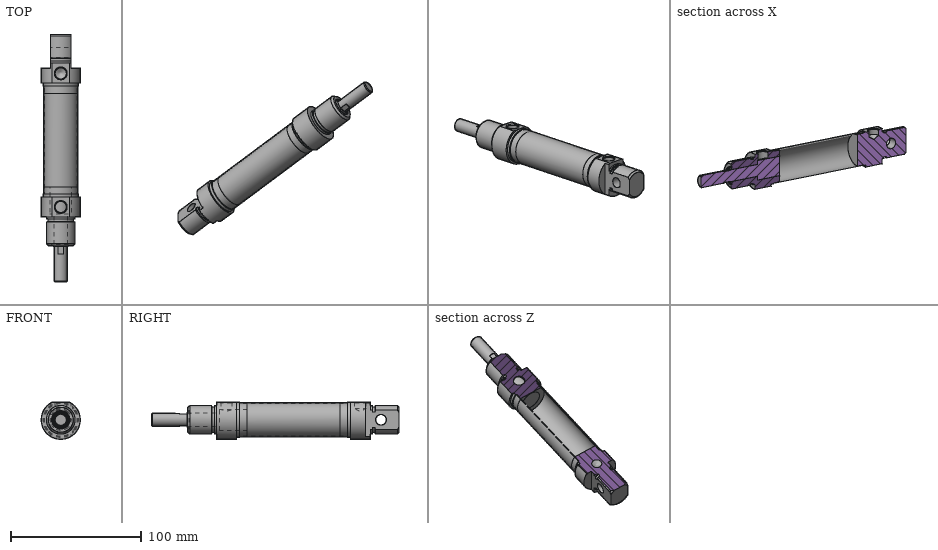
import cadquery as cq
import math

TOTAL_LENGTH = 190.0

ROD_DIA = 10.0
ROD_TIP_DIA = 8.5
ROD_CHAMFER = (ROD_DIA - ROD_TIP_DIA) / 2
ROD_FLAT_WIDTH = 4.2
ROD_FLAT_START = 21.5
SLEEVE_DIA = 16.2
SLEEVE_START = 52.2

COLLAR_DIA = 30.0
PORT_FLAT_Z = 13.5
SKIRT_DIA = 27.0
TUBE_DIA = 26.5
TUBE_BORE = 25.0
SPIGOT_LENGTH = 5.7

NECK_DIA = 22.0
GROOVE_DIA = 19.8
GROOVE_TAPER = 0.5
GROOVE_LENGTH = 2.5
SHOULDER_LENGTH = 1.5

HEAD_START = 27.7
HEAD_CHAMFER_LENGTH = 1.7
HEAD_TIP_DIA = 19.0
FRONT_COLLAR_START = 50.0
FRONT_COLLAR_END = 65.4
FRONT_SKIRT_END = 67.5
HEAD_END = FRONT_SKIRT_END + SPIGOT_LENGTH

RECESS_DIA = 14.0
RECESS_DEPTH = 1.1
LIP_TIP_DIA = 11.0
LIP_BASE_DIA = 12.5
LIP_PROJECTION = 0.5

REAR_SKIRT_START = 150.3
REAR_COLLAR_START = 152.5
REAR_COLLAR_END = 168.0
TONGUE_THICKNESS = 16.0
TONGUE_FLAT_START = 164.2
TONGUE_CHAMFER = 1.3
PIN_HOLE_DIA = 8.0
PIN_HOLE_Y = 176.1

PORT_DIA = 8.5
PORT_MOUTH_DIA = 9.9
PORT_CHAMFER = (PORT_MOUTH_DIA - PORT_DIA) / 2
FRONT_PORT_Y = (FRONT_COLLAR_START + FRONT_COLLAR_END) / 2
REAR_PORT_Y = 160.2
REAR_PORT_DEPTH = 4.8
DRILL_POINT_ANGLE = 118.0


def turned(profile):
    """Turn a closed (radius, y) profile about the Y axis."""
    return cq.Workplane("XY").polyline(profile).close().revolve(360, (0, 0, 0), (0, 1, 0))


def block(width, start, end, z_low, z_high):
    """Box centred on x = 0 between two y stations and two heights."""
    return cq.Workplane("XY").box(
        width, end - start, z_high - z_low, centered=(True, False, False)
    ).translate((0, start, z_low))


def cut_port_flat(body, start, end):
    """Level the top of a collar where its port opens."""
    return body.cut(block(COLLAR_DIA, start, end, PORT_FLAT_Z, COLLAR_DIA))


def port_cutter(y, depth, point_depth):
    """Chamfered drilling from the port flat; a zero point depth leaves a flat end."""
    radius = PORT_DIA / 2
    bottom = PORT_FLAT_Z - depth
    profile = [
        (0, PORT_FLAT_Z),
        (PORT_MOUTH_DIA / 2, PORT_FLAT_Z),
        (radius, PORT_FLAT_Z - PORT_CHAMFER),
        (radius, bottom),
        (0, bottom - point_depth),
    ]
    outline = cq.Workplane("XZ", origin=(0, y, 0)).polyline(profile).close()
    return outline.revolve(360, (0, 0, 0), (0, 1, 0))


def make_rod():
    radius = ROD_DIA / 2
    rod = turned([
        (0, 0),
        (ROD_TIP_DIA / 2, 0),
        (radius, ROD_CHAMFER),
        (radius, SLEEVE_START),
        (SLEEVE_DIA / 2, SLEEVE_START),
        (SLEEVE_DIA / 2, HEAD_END),
        (0, HEAD_END),
    ])
    flat_z = math.sqrt(radius**2 - (ROD_FLAT_WIDTH / 2)**2)
    flat_end = HEAD_START - LIP_PROJECTION
    for z_low, z_high in ((flat_z, ROD_DIA), (-ROD_DIA, -flat_z)):
        rod = rod.cut(block(ROD_DIA, ROD_FLAT_START, flat_end, z_low, z_high))
    return rod


def make_tube():
    return turned([
        (TUBE_BORE / 2, FRONT_SKIRT_END),
        (TUBE_DIA / 2, FRONT_SKIRT_END),
        (TUBE_DIA / 2, REAR_SKIRT_START),
        (TUBE_BORE / 2, REAR_SKIRT_START),
    ])


def make_front_head():
    shoulder = FRONT_COLLAR_START - SHOULDER_LENGTH
    groove = shoulder - GROOVE_LENGTH
    recess_floor = HEAD_START + RECESS_DEPTH
    head = turned([
        (ROD_DIA / 2, HEAD_START - LIP_PROJECTION),
        (LIP_TIP_DIA / 2, HEAD_START - LIP_PROJECTION),
        (LIP_BASE_DIA / 2, recess_floor),
        (RECESS_DIA / 2, recess_floor),
        (RECESS_DIA / 2, HEAD_START),
        (HEAD_TIP_DIA / 2, HEAD_START),
        (NECK_DIA / 2, HEAD_START + HEAD_CHAMFER_LENGTH),
        (NECK_DIA / 2, groove),
        (GROOVE_DIA / 2, groove + GROOVE_TAPER),
        (GROOVE_DIA / 2, shoulder),
        (NECK_DIA / 2, shoulder),
        (NECK_DIA / 2, FRONT_COLLAR_START),
        (COLLAR_DIA / 2, FRONT_COLLAR_START),
        (COLLAR_DIA / 2, FRONT_COLLAR_END),
        (SKIRT_DIA / 2, FRONT_COLLAR_END),
        (SKIRT_DIA / 2, FRONT_SKIRT_END),
        (TUBE_BORE / 2, FRONT_SKIRT_END),
        (TUBE_BORE / 2, HEAD_END),
        (SLEEVE_DIA / 2, HEAD_END),
        (SLEEVE_DIA / 2, SLEEVE_START),
        (ROD_DIA / 2, SLEEVE_START),
    ])
    head = cut_port_flat(head, FRONT_COLLAR_START, FRONT_COLLAR_END)
    return head.cut(port_cutter(FRONT_PORT_Y, PORT_FLAT_Z, 0))


def make_rear_cap():
    shoulder = REAR_COLLAR_END + SHOULDER_LENGTH
    groove = shoulder + GROOVE_LENGTH
    spigot_start = REAR_SKIRT_START - SPIGOT_LENGTH
    cap = turned([
        (0, spigot_start),
        (TUBE_BORE / 2, spigot_start),
        (TUBE_BORE / 2, REAR_SKIRT_START),
        (SKIRT_DIA / 2, REAR_SKIRT_START),
        (SKIRT_DIA / 2, REAR_COLLAR_START),
        (COLLAR_DIA / 2, REAR_COLLAR_START),
        (COLLAR_DIA / 2, REAR_COLLAR_END),
        (NECK_DIA / 2, REAR_COLLAR_END),
        (NECK_DIA / 2, shoulder),
        (GROOVE_DIA / 2, shoulder),
        (GROOVE_DIA / 2, groove - GROOVE_TAPER),
        (NECK_DIA / 2, groove),
        (NECK_DIA / 2, TOTAL_LENGTH - TONGUE_CHAMFER),
        (NECK_DIA / 2 - TONGUE_CHAMFER, TOTAL_LENGTH),
        (0, TOTAL_LENGTH),
    ])
    cap = cut_port_flat(cap, REAR_COLLAR_START, REAR_COLLAR_END)
    side_cut = block(COLLAR_DIA, TONGUE_FLAT_START, TOTAL_LENGTH, -COLLAR_DIA, COLLAR_DIA)
    for side in (-1, 1):
        cap = cap.cut(side_cut.translate((side * (COLLAR_DIA + TONGUE_THICKNESS) / 2, 0, 0)))
    pin_hole = cq.Workplane("YZ").center(PIN_HOLE_Y, 0).circle(PIN_HOLE_DIA / 2)
    cap = cap.cut(pin_hole.extrude(TONGUE_THICKNESS, both=True))
    point_depth = PORT_DIA / 2 / math.tan(math.radians(DRILL_POINT_ANGLE / 2))
    return cap.cut(port_cutter(REAR_PORT_Y, REAR_PORT_DEPTH, point_depth))


rod = make_rod()
tube = make_tube()
front_head = make_front_head()
rear_cap = make_rear_cap()

result = cq.Compound.makeCompound([rod.val(), tube.val(), front_head.val(), rear_cap.val()])